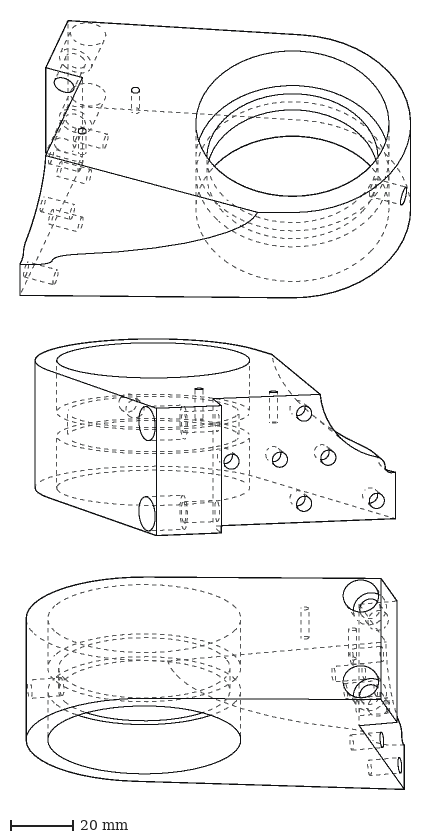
import cadquery as cq
import math

HEIGHT = 41.6
MID_Z = HEIGHT / 2
LENGTH = 120.6
WIDTH = 102.1

RING_RADIUS = 38.0
COUNTERBORE_RADIUS = 31.0
BORE_RADIUS = 27.5
COUNTERBORE_DEPTH = 16.9
RADIAL_HOLE_DIAMETER = 5.9

LEFT_X = RING_RADIUS - LENGTH
FRONT_Y = RING_RADIUS - WIDTH
STEP_WIDTH = 12.5
FACE_X = LEFT_X + STEP_WIDTH
LUG_BACK_Y = 17.2
LUG_FRONT_Y = -4.1

HOLE_OFFSET_Z = 14.7
LUG_HOLE_DIAMETER = 6.8
LUG_COUNTERBORE_DIAMETER = 11.0
LUG_CLAMP_THICKNESS = 11.0
FACE_HOLE_DIAMETER = 5.0
FACE_HOLE_DEPTH = 10.0
FACE_HOLE_PITCH = 15.9
FACE_HOLE_CENTER_Y = -26.2
PIN_HOLE_DIAMETER = 2.5
PIN_HOLE_DEPTH = 10.0
PIN_HOLES = [(-52.2, -3.5), (-62.5, -25.7)]

SCOOP_TOP = (-39.4, HEIGHT)
SCOOP_MIDDLE = (-45.8, 27.4)
SCOOP_END = (-58.1, 20.4)
LIP_MIDDLE = (-60.8, 17.1)
LIP_END = (-63.5, 15.2)

CUT_MARGIN = 1.2


def tangent_point(x, y, side):
    """Point where a line from (x, y) touches the ring; side is +1 or -1 about the centre line."""
    angle = math.atan2(y, x) + side * math.acos(RING_RADIUS / math.hypot(x, y))
    return RING_RADIUS * math.cos(angle), RING_RADIUS * math.sin(angle)


def make_body():
    back_tangent = tangent_point(LEFT_X, LUG_BACK_Y, -1)
    front_tangent = tangent_point(FACE_X, FRONT_Y, 1)
    return (
        cq.Workplane("XY")
        .moveTo(LEFT_X, LUG_BACK_Y)
        .lineTo(*back_tangent)
        .threePointArc((RING_RADIUS, 0), front_tangent)
        .lineTo(FACE_X, FRONT_Y)
        .lineTo(FACE_X, LUG_FRONT_Y)
        .lineTo(LEFT_X, LUG_FRONT_Y)
        .close()
        .extrude(HEIGHT)
    )


def make_scoop():
    outside_y = FRONT_Y - CUT_MARGIN
    return (
        cq.Workplane("YZ", origin=(FACE_X, 0, 0))
        .moveTo(*SCOOP_TOP)
        .threePointArc(SCOOP_MIDDLE, SCOOP_END)
        .tangentArcPoint(LIP_MIDDLE, relative=False)
        .tangentArcPoint(LIP_END, relative=False)
        .lineTo(outside_y, LIP_END[1])
        .lineTo(outside_y, HEIGHT)
        .close()
        .extrude(LENGTH)
    )


def make_bore():
    """Through bore with equal counterbores above and below a central web."""
    bore = cq.Workplane("XY").circle(BORE_RADIUS).extrude(HEIGHT)
    for z in (0, HEIGHT - COUNTERBORE_DEPTH):
        counterbore = cq.Workplane("XY", origin=(0, 0, z)).circle(COUNTERBORE_RADIUS)
        bore = bore.union(counterbore.extrude(COUNTERBORE_DEPTH))
    return bore


def make_radial_hole():
    """Hole from the bore out through the +X wall of the ring."""
    hole = cq.Workplane("YZ").center(0, MID_Z).circle(RADIAL_HOLE_DIAMETER / 2)
    return hole.extrude(RING_RADIUS + CUT_MARGIN)


def make_lug_holes():
    """Through holes along Y, counterbored from the sloping back face."""
    points = [(LEFT_X + STEP_WIDTH / 2, MID_Z + side * HOLE_OFFSET_Z) for side in (-1, 1)]
    holes = cq.Workplane("XZ").pushPoints(points).circle(LUG_HOLE_DIAMETER / 2)
    floor_y = LUG_FRONT_Y + LUG_CLAMP_THICKNESS
    counterbores = (
        cq.Workplane("XZ", origin=(0, floor_y, 0))
        .pushPoints(points)
        .circle(LUG_COUNTERBORE_DIAMETER / 2)
        .extrude(-WIDTH)
    )
    return holes.extrude(WIDTH, both=True).union(counterbores)


def make_face_holes():
    """Blind holes: a row of three at mid-height, one hole above it and two below."""
    layout = [(-1, 0), (0, 0), (1, 0), (0.5, 1), (0.5, -1), (2, -1)]
    points = [
        (FACE_HOLE_CENTER_Y - column * FACE_HOLE_PITCH, MID_Z + row * HOLE_OFFSET_Z)
        for column, row in layout
    ]
    holes = cq.Workplane("YZ", origin=(FACE_X, 0, 0)).pushPoints(points)
    return holes.circle(FACE_HOLE_DIAMETER / 2).extrude(FACE_HOLE_DEPTH)


def make_pin_holes():
    holes = cq.Workplane("XY", origin=(0, 0, HEIGHT)).pushPoints(PIN_HOLES)
    return holes.circle(PIN_HOLE_DIAMETER / 2).extrude(-PIN_HOLE_DEPTH)


result = (
    make_body()
    .cut(make_scoop())
    .cut(make_bore())
    .cut(make_radial_hole())
    .cut(make_lug_holes())
    .cut(make_face_holes())
    .cut(make_pin_holes())
)